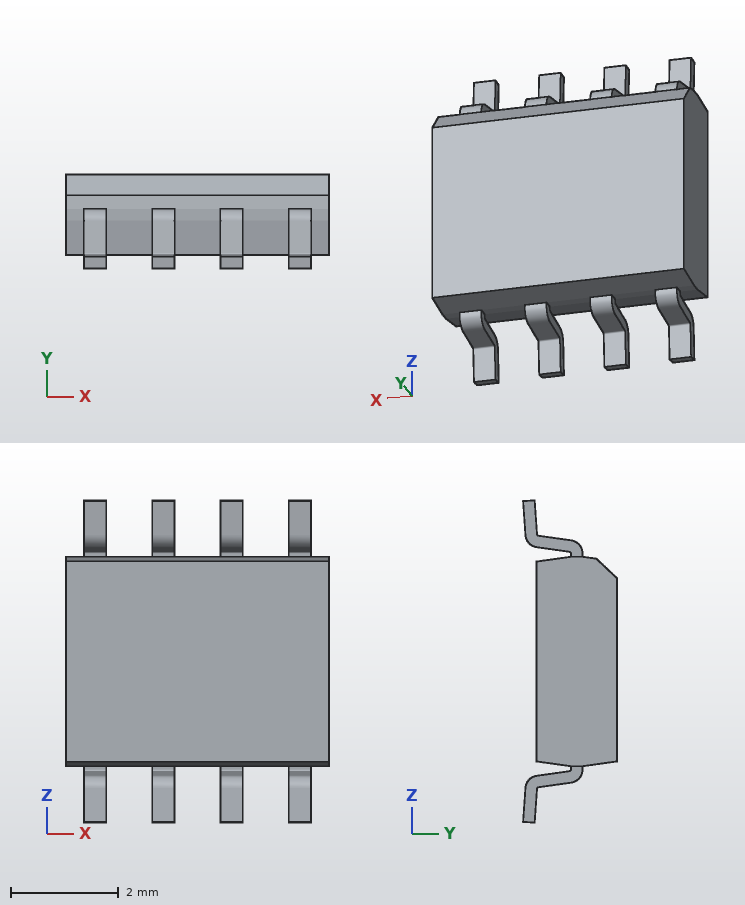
import cadquery as cq
import math


body_length = 4.9
body_width = 3.9
body_thickness = 1.5
total_depth = 1.75
total_span = 6.0

lead_thickness = 0.22
lead_width = 0.42
lead_pitch = 1.27
leads_per_side = 4
bend_inner_radius = 0.03
shank_angle = math.radians(8)
foot_angle = math.radians(4)
exit_length = 0.18

draft = math.tan(math.radians(8))
bevel_depth = 0.385
bevel_drop = 0.4

face_y = total_depth / 2
mount_y = face_y - body_thickness
lead_exit_y = face_y - body_thickness / 2
band_top_y = lead_exit_y + lead_thickness / 2
band_bottom_y = lead_exit_y - lead_thickness / 2
half_width = body_width / 2


def make_body():
    """Moulded package: straight band at the leads, drafted sides and a bevel along the pin 1 side."""
    face_half_width = half_width - draft * (face_y - band_top_y)
    mount_half_width = half_width - draft * (band_bottom_y - mount_y)
    bevel_y = face_y - bevel_depth
    bevel_start_z = half_width - draft * (bevel_y - band_top_y)
    outline = [
        (face_y, -face_half_width),
        (face_y, half_width - bevel_drop),
        (bevel_y, bevel_start_z),
        (band_top_y, half_width),
        (band_bottom_y, half_width),
        (mount_y, mount_half_width),
        (mount_y, -mount_half_width),
        (band_bottom_y, -half_width),
        (band_top_y, -half_width),
    ]
    return cq.Workplane("YZ").polyline(outline).close().extrude(body_length / 2, both=True)


def mitre_shift(angle_in, angle_out):
    """(Y, Z) step from a centreline corner to the matching corner on the lead's -Z, -Y skin."""
    middle_angle = (angle_in + angle_out) / 2
    reach = lead_thickness / 2 / math.cos((angle_out - angle_in) / 2)
    return (-reach * math.sin(middle_angle), -reach * math.cos(middle_angle))


def make_lead():
    """Gull-wing lead on the +Z side, centred on X = 0, starting flush on the package band."""
    half_thickness = lead_thickness / 2
    shank_slope = math.tan(shank_angle)
    foot_slope = math.tan(foot_angle)

    start = (lead_exit_y, half_width)
    first_bend = (lead_exit_y, half_width + exit_length)
    tip = (
        -face_y + half_thickness * math.cos(foot_angle),
        total_span / 2 - half_thickness * math.sin(foot_angle),
    )
    shank_z_below_tip = first_bend[1] + shank_slope * (first_bend[0] - tip[0])
    foot_height = (tip[1] - shank_z_below_tip) / (1 - shank_slope * foot_slope)
    second_bend = (tip[0] + foot_height * foot_slope, tip[1] - foot_height)

    exit_direction = math.pi / 2
    foot_direction = math.pi / 2 - foot_angle
    stations = [
        (start, mitre_shift(exit_direction, exit_direction)),
        (first_bend, mitre_shift(exit_direction, shank_angle)),
        (second_bend, mitre_shift(shank_angle, foot_direction)),
        (tip, mitre_shift(foot_direction, foot_direction)),
    ]
    lower_skin = [(y + dy, z + dz) for (y, z), (dy, dz) in stations]
    upper_skin = [(y - dy, z - dz) for (y, z), (dy, dz) in stations]
    lead = (
        cq.Workplane("YZ")
        .polyline(lower_skin + upper_skin[::-1])
        .close()
        .extrude(lead_width / 2, both=True)
    )

    bend_outer_radius = bend_inner_radius + lead_thickness
    bend_corners = [
        (lower_skin[1], bend_inner_radius),
        (upper_skin[1], bend_outer_radius),
        (lower_skin[2], bend_outer_radius),
        (upper_skin[2], bend_inner_radius),
    ]
    for (y, z), radius in bend_corners:
        corner_edge = cq.selectors.NearestToPointSelector((0, y, z))
        lead = lead.edges("|X").edges(corner_edge).fillet(radius)
    return lead


body = make_body()

upper_lead = make_lead()
lower_lead = upper_lead.mirror("XY")
first_lead_x = -lead_pitch * (leads_per_side - 1) / 2
leads = []
for index in range(leads_per_side):
    lead_x = first_lead_x + index * lead_pitch
    for lead in (upper_lead, lower_lead):
        leads.append(lead.translate((lead_x, 0, 0)).val())

result = cq.Compound.makeCompound([body.val(), *leads])